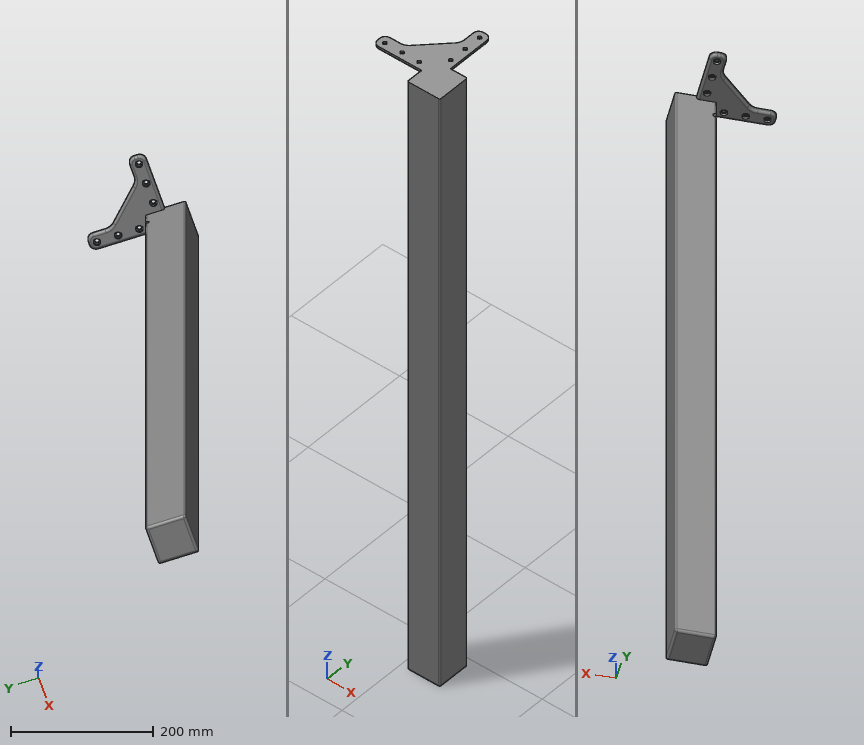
import cadquery as cq

TOTAL_HEIGHT = 1100.0
OUTER_SPAN = 149.35
LEG_SIDE = 60.0
LEG_EDGE_RADIUS = 2.5
FOOT_EDGE_RADIUS = 4.0

PLATE_THICKNESS = 7.0
PLATE_EDGE_RADIUS = 4.0
ARM_WIDTH = 25.0
ARM_INNER_EDGE = 1.0
ARM_FREE_LENGTH = 37.0
TIP_RADIUS = 10.0
WEB_CORNER_RADIUS = 20.0

HOLE_DIAMETER = 6.4
COUNTERBORE_DIAMETER = 10.5
COUNTERBORE_DEPTH = 4.0
HOLES_PER_ARM = 3
HOLE_PITCH = 31.5
TIP_TO_HOLE = 12.0
EDGE_TO_HOLE = 11.8

BOLT_HOLE_DIAMETER = 7.5
BOLT_HOLE_DEPTH = 30.0
BOLT_HOLE_DROP = 33.5

HALF_LEG = LEG_SIDE / 2
ARM_TIP = OUTER_SPAN - HALF_LEG
ARM_OUTER_EDGE = ARM_INNER_EDGE + ARM_WIDTH
WEB_START = ARM_TIP - ARM_FREE_LENGTH
HOLE_LINE = ARM_INNER_EDGE + EDGE_TO_HOLE


def make_leg():
    return (
        cq.Workplane("XY")
        .rect(LEG_SIDE, LEG_SIDE)
        .extrude(-TOTAL_HEIGHT)
        .edges("|Z")
        .fillet(LEG_EDGE_RADIUS)
        .faces("<Z")
        .edges()
        .fillet(FOOT_EDGE_RADIUS)
    )


def round_corners(plate, corners, radius):
    for x, y in corners:
        edge_middle = (x, y, -PLATE_THICKNESS / 2)
        nearest = cq.selectors.NearestToPointSelector(edge_middle)
        plate = plate.edges(nearest).fillet(radius)
    return plate


def make_plate():
    tip_corners = [
        (-ARM_TIP, ARM_OUTER_EDGE),
        (-ARM_TIP, ARM_INNER_EDGE),
        (-ARM_INNER_EDGE, ARM_TIP),
        (-ARM_OUTER_EDGE, ARM_TIP),
    ]
    web_corners = [
        (-ARM_OUTER_EDGE, WEB_START),
        (-WEB_START, ARM_OUTER_EDGE),
    ]
    hidden_corner = (-ARM_INNER_EDGE, ARM_INNER_EDGE)
    outline = tip_corners[:2] + [hidden_corner] + tip_corners[2:] + web_corners
    plate = cq.Workplane("XY").polyline(outline).close().extrude(-PLATE_THICKNESS)
    plate = round_corners(plate, tip_corners, TIP_RADIUS)
    plate = round_corners(plate, web_corners, WEB_CORNER_RADIUS)
    return plate.faces("<Z").edges().fillet(PLATE_EDGE_RADIUS)


def make_screw_holes():
    centres = []
    for i in range(HOLES_PER_ARM):
        along_arm = ARM_TIP - TIP_TO_HOLE - i * HOLE_PITCH
        centres.append((-along_arm, HOLE_LINE))
        centres.append((-HOLE_LINE, along_arm))
    underside = cq.Workplane("XY", origin=(0, 0, -PLATE_THICKNESS)).pushPoints(centres)
    shanks = underside.circle(HOLE_DIAMETER / 2).extrude(PLATE_THICKNESS)
    counterbores = underside.circle(COUNTERBORE_DIAMETER / 2).extrude(COUNTERBORE_DEPTH)
    return shanks.union(counterbores)


def make_bolt_hole():
    corner = cq.Plane(
        origin=(-HALF_LEG, HALF_LEG, -BOLT_HOLE_DROP),
        xDir=(0, 0, 1),
        normal=(1, -1, 0),
    )
    return cq.Workplane(corner).circle(BOLT_HOLE_DIAMETER / 2).extrude(BOLT_HOLE_DEPTH)


bracket = make_plate().cut(make_screw_holes())
leg = make_leg().cut(make_bolt_hole())
result = leg.union(bracket)